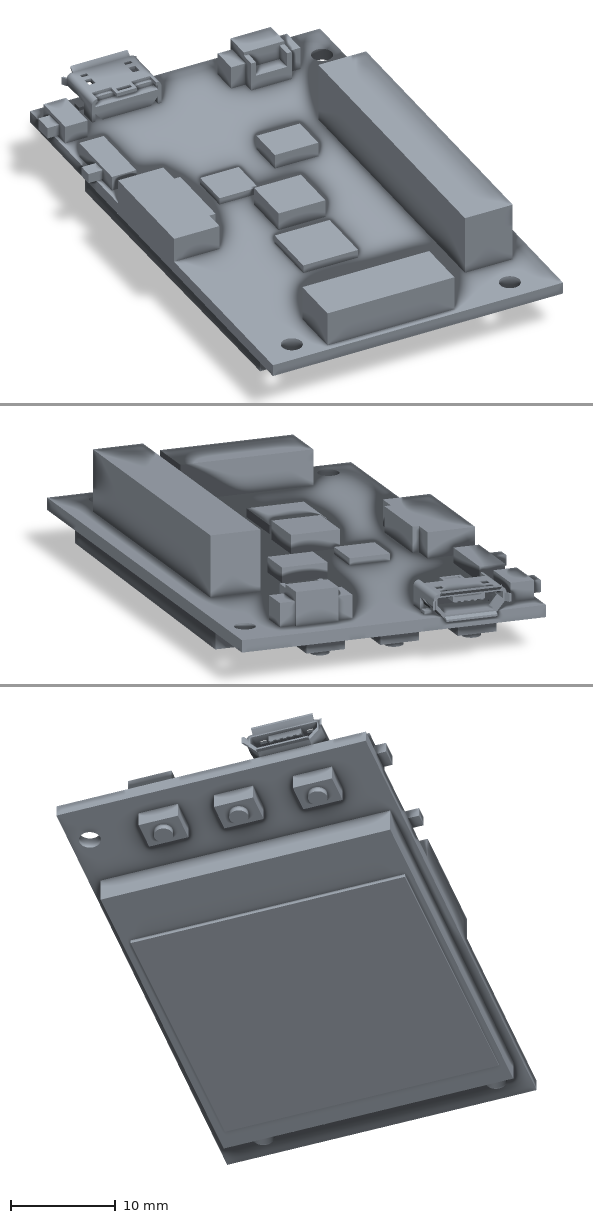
import cadquery as cq
import math


BOARD_LENGTH = 50.15
BOARD_WIDTH = 31.25
BOARD_THICKNESS = 1.25
HOLE_DIAMETER = 2.1
HOLE_CENTRES = [(4.15, 29.3), (47.75, 26.8), (47.75, 3.3)]

PIN_HEADER = (14.05, 23.75, 30.3, 5.15, 6.2)
SIDE_HEADER = (44.3, 6.2, 5.2, 13.65, 3.65)
CHIPS = [
    (15.95, 16.1, 3.8, 4.7, 1.55),
    (24.4, 11.4, 5.05, 5.05, 1.9),
    (31.3, 10.0, 5.9, 5.9, 0.85),
    (18.85, 8.5, 4.0, 4.15, 0.7),
]

SOCKET_X = 18.2
SOCKET_LENGTH = 11.55
SOCKET_WIDTH = 4.9
SOCKET_HEIGHT = 2.6
SOCKET_STEP_X = 20.4
SOCKET_STEP_LENGTH = 7.3
SOCKET_STEP_WIDTH = 0.65

FRONT_OVERHANG = 1.05
SWITCH = (9.2, 0.5, 6.75, 2.6, 1.55)
SWITCH_KNOB_X = 12.65
SWITCH_KNOB_LENGTH = 1.4
SWITCH_KNOB_BOTTOM = 0.2
SWITCH_KNOB_TOP = 1.25
BUTTON = (2.1, 0.35, 4.45, 2.4, 1.9)
BUTTON_KNOB_X = 3.4
BUTTON_KNOB_LENGTH = 1.9
BUTTON_KNOB_TIP_Y = -0.85
BUTTON_KNOB_BOTTOM = 0.2
BUTTON_KNOB_TOP = 1.4

BATTERY_X = 2.25
BATTERY_Y = 20.4
BATTERY_LENGTH = 2.8
BATTERY_WIDTH = 4.35
BATTERY_HEIGHT = 3.45
CHEEK_LENGTH = 1.55
CHEEK_THICKNESS = 0.5
CHEEK_HEIGHT = 3.1
CHEEK_FLOOR_HEIGHT = 1.55
TAB_X = 2.6
TAB_LENGTH = 2.8
TAB_WIDTH = 1.55
TAB_HEIGHT = 2.4

KEY_X = 2.25
KEY_LENGTH = 3.1
KEY_WIDTH = 3.95
KEY_HEIGHT = 1.6
KEY_CENTRES_Y = [6.15, 14.15, 21.75]
PLUNGER_DIAMETER = 1.85
PLUNGER_HEIGHT = 0.55

DISPLAY_X = (9.7, 45.85)
DISPLAY_Y = (0.85, 30.1)
DISPLAY_BOTTOM = (-3.8, -3.45)
SCREEN_X = (15.95, 43.65)
SCREEN_Y = (1.55, 29.25)
SCREEN_BOTTOM = (-4.1, -3.55)

USB_CENTRE_Y = 8.05
SHELL_FRONT_X = -0.7
SHELL_BACK_X = 4.5
SHELL_WIDTH = 7.45
SHELL_BOTTOM_WIDTH = 5.25
SHELL_HEIGHT = 2.5
SHELL_SIDE_BOTTOM = 1.3
SHELL_WALL = 0.35
SHELL_TOP_RADIUS = 0.5
LIP_REACH = 0.5
LIP_THICKNESS = 0.2
TOP_LIP_RISE = 0.4
SIDE_LIP_RISE = 0.3
BOTTOM_LIP_DROP = 0.15
TOP_LIP_WIDTH = 6.15
BOTTOM_LIP_WIDTH = 5.25
SIDE_LIP_Z = (1.15, 1.95)
SIDE_WINDOW_X = (0.75, 2.1)
SIDE_WINDOW_Z = (SHELL_WALL, 1.4)
FOOT_X = (1.25, 2.1)
FOOT_SPAN = 7.8
REAR_LEG_FRONT_X = 2.85
SPRING_WINDOWS_X = [(0.05, 0.45), (1.05, 1.95)]
SPRING_WINDOW_WIDTH = 0.7
SPRING_OFFSET_Y = 2.35
REAR_NOTCH_X = 3.3
REAR_NOTCH_Y = (1.1, 3.15)
REAR_SLOT_X = (3.7, 4.15)
REAR_SLOT_WIDTH = 1.55
INSULATOR_FRONT_X = 2.85
INSULATOR_STEP_X = 3.65
INSULATOR_STEP_TOP = 1.65
TONGUE_FRONT_X = -0.35
TONGUE_WIDTH = 3.3
TONGUE_Z = (1.5, 2.15)
CONTACT_COUNT = 5
CONTACT_PITCH = 0.65
CONTACT_WIDTH = 0.3
CONTACT_HEIGHT = 0.1


def box_between(x_range, y_range, z_range):
    """A box that fills the given X, Y and Z ranges."""
    size = [high - low for low, high in (x_range, y_range, z_range)]
    return cq.Workplane("XY").box(*size, centered=False).translate((x_range[0], y_range[0], z_range[0]))


def block_on_board(x, y, length, width, height):
    """A box that stands on the upper face of the board."""
    return box_between((x, x + length), (y, y + width), (0, height))


def centred_range(centre, width):
    return (centre - width / 2, centre + width / 2)


def extrude_along_y(points, y_range):
    """An X-Z outline that is extruded over a Y range."""
    return (
        cq.Workplane("XZ", origin=(0, y_range[0], 0))
        .polyline(points)
        .close()
        .extrude(y_range[0] - y_range[1])
    )




def bare_board():
    plate = box_between((0, BOARD_LENGTH), (0, BOARD_WIDTH), (-BOARD_THICKNESS, 0))
    holes = (
        cq.Workplane("XY")
        .pushPoints(HOLE_CENTRES)
        .circle(HOLE_DIAMETER / 2)
        .extrude(-BOARD_THICKNESS)
    )
    return plate.cut(holes)


def card_socket():
    body = block_on_board(SOCKET_X, 0, SOCKET_LENGTH, SOCKET_WIDTH, SOCKET_HEIGHT)
    step = block_on_board(SOCKET_STEP_X, SOCKET_WIDTH, SOCKET_STEP_LENGTH, SOCKET_STEP_WIDTH, SOCKET_HEIGHT)
    return body.union(step)


def slide_switch():
    knob = box_between(
        (SWITCH_KNOB_X, SWITCH_KNOB_X + SWITCH_KNOB_LENGTH),
        (-FRONT_OVERHANG, SWITCH[1]),
        (SWITCH_KNOB_BOTTOM, SWITCH_KNOB_TOP),
    )
    return block_on_board(*SWITCH).union(knob)


def push_button():
    knob = box_between(
        (BUTTON_KNOB_X, BUTTON_KNOB_X + BUTTON_KNOB_LENGTH),
        (BUTTON_KNOB_TIP_Y, BUTTON[1]),
        (BUTTON_KNOB_BOTTOM, BUTTON_KNOB_TOP),
    )
    return block_on_board(*BUTTON).union(knob)


def battery_connector():
    connector = block_on_board(BATTERY_X, BATTERY_Y, BATTERY_LENGTH, BATTERY_WIDTH, BATTERY_HEIGHT)
    back_y = BATTERY_Y + BATTERY_WIDTH
    cheek_x = BATTERY_X + BATTERY_LENGTH
    connector = connector.union(
        block_on_board(cheek_x, BATTERY_Y, CHEEK_LENGTH, BATTERY_WIDTH, CHEEK_FLOOR_HEIGHT)
    )
    for cheek_y in (BATTERY_Y, back_y - CHEEK_THICKNESS):
        connector = connector.union(
            block_on_board(cheek_x, cheek_y, CHEEK_LENGTH, CHEEK_THICKNESS, CHEEK_HEIGHT)
        )
    for tab_y in (BATTERY_Y - TAB_WIDTH, back_y):
        connector = connector.union(block_on_board(TAB_X, tab_y, TAB_LENGTH, TAB_WIDTH, TAB_HEIGHT))
    return connector


def key(centre_y):
    """A key below the board with a round plunger."""
    bottom = -BOARD_THICKNESS - KEY_HEIGHT
    body = box_between(
        (KEY_X, KEY_X + KEY_LENGTH), centred_range(centre_y, KEY_WIDTH), (bottom, -BOARD_THICKNESS)
    )
    plunger = (
        cq.Workplane("XY", origin=(KEY_X + KEY_LENGTH / 2, centre_y, bottom))
        .circle(PLUNGER_DIAMETER / 2)
        .extrude(-PLUNGER_HEIGHT)
    )
    return body.union(plunger)


def sloped_slab(x_range, y_range, bottom_heights):
    """A slab below the board whose underside slopes along X."""
    left, right = x_range
    bottom_left, bottom_right = bottom_heights
    outline = [
        (left, -BOARD_THICKNESS),
        (right, -BOARD_THICKNESS),
        (right, bottom_right),
        (left, bottom_left),
    ]
    return extrude_along_y(outline, y_range)


def board_assembly():
    board = bare_board()
    for block in [PIN_HEADER, SIDE_HEADER, *CHIPS]:
        board = board.union(block_on_board(*block))
    for part in (card_socket(), slide_switch(), push_button(), battery_connector()):
        board = board.union(part)
    for centre_y in KEY_CENTRES_Y:
        board = board.union(key(centre_y))
    board = board.union(sloped_slab(DISPLAY_X, DISPLAY_Y, DISPLAY_BOTTOM))
    board = board.union(sloped_slab(SCREEN_X, SCREEN_Y, SCREEN_BOTTOM))
    return board.clean()




def shell_profile(x_start, x_end):
    """The shell's outer shape: upright sides above, flanks that slant inwards below."""
    half_top = SHELL_WIDTH / 2
    half_bottom = SHELL_BOTTOM_WIDTH / 2
    outline = [
        (-half_bottom, 0),
        (half_bottom, 0),
        (half_top, SHELL_SIDE_BOTTOM),
        (half_top, SHELL_HEIGHT),
        (-half_top, SHELL_HEIGHT),
        (-half_top, SHELL_SIDE_BOTTOM),
    ]
    return (
        cq.Workplane("YZ", origin=(x_start, 0, 0))
        .polyline(outline)
        .close()
        .extrude(x_end - x_start)
        .edges("|X and >Z")
        .fillet(SHELL_TOP_RADIUS)
    )


def shell_cavity(x_start, x_end):
    """The space inside the shell wall over an X range."""
    return (
        shell_profile(x_start, x_end)
        .faces("<X")
        .wires()
        .toPending()
        .workplane()
        .offset2D(-SHELL_WALL)
        .extrude(x_start - x_end, combine=False)
    )


def lip_outline(outer, rise):
    """A flared strip: it runs from the shell wall towards -X and away from the opening."""
    inner = outer - math.copysign(LIP_THICKNESS, rise)
    tip_x = SHELL_FRONT_X - LIP_REACH
    return [
        (SHELL_FRONT_X, outer),
        (tip_x, outer + rise),
        (tip_x, inner + rise),
        (SHELL_FRONT_X, inner),
    ]


def shell_lips():
    top = extrude_along_y(lip_outline(SHELL_HEIGHT, TOP_LIP_RISE), centred_range(0, TOP_LIP_WIDTH))
    bottom = extrude_along_y(lip_outline(0, -BOTTOM_LIP_DROP), centred_range(0, BOTTOM_LIP_WIDTH))
    side = (
        cq.Workplane("XY", origin=(0, 0, SIDE_LIP_Z[0]))
        .polyline(lip_outline(SHELL_WIDTH / 2, SIDE_LIP_RISE))
        .close()
        .extrude(SIDE_LIP_Z[1] - SIDE_LIP_Z[0])
    )
    return [top, bottom, side, side.mirror("XZ")]


def roof_opening(x_range, y_range):
    """A rectangular cut through the shell roof."""
    return box_between(x_range, y_range, (SHELL_HEIGHT - SHELL_WALL, SHELL_HEIGHT))


def roof_openings():
    """Two openings around each spring leaf, a notch on each side at the rear and a slot between."""
    openings = [roof_opening(REAR_SLOT_X, centred_range(0, REAR_SLOT_WIDTH))]
    for side in (-1, 1):
        spring_y = centred_range(side * SPRING_OFFSET_Y, SPRING_WINDOW_WIDTH)
        for spring_x in SPRING_WINDOWS_X:
            openings.append(roof_opening(spring_x, spring_y))
        notch_y = sorted(side * y for y in REAR_NOTCH_Y)
        openings.append(roof_opening((REAR_NOTCH_X, SHELL_BACK_X), notch_y))
    return openings


def rear_legs():
    """The upright sides carried down to the board at the rear, one on each side."""
    leg_x = (REAR_LEG_FRONT_X, SHELL_BACK_X)
    leg_z = (0, SHELL_SIDE_BOTTOM + SHELL_WALL)
    legs = []
    for side in (-1, 1):
        leg_y = sorted(side * y for y in (SHELL_WIDTH / 2 - SHELL_WALL, SHELL_WIDTH / 2))
        legs.append(box_between(leg_x, leg_y, leg_z))
    return legs


def usb_shell():
    shell = shell_profile(SHELL_FRONT_X, SHELL_BACK_X).cut(shell_cavity(SHELL_FRONT_X, SHELL_BACK_X))
    shell = shell.cut(box_between(SIDE_WINDOW_X, centred_range(0, SHELL_WIDTH), SIDE_WINDOW_Z))
    foot = box_between(FOOT_X, centred_range(0, FOOT_SPAN), (0, SHELL_WALL))
    for part in [foot, *shell_lips(), *rear_legs()]:
        shell = shell.union(part)
    for opening in roof_openings():
        shell = shell.cut(opening)
    return shell


def usb_insulator():
    """The block that closes the rear of the shell, its tongue and the contacts under the tongue."""
    insulator = shell_cavity(INSULATOR_FRONT_X, SHELL_BACK_X)
    step = box_between(
        (INSULATOR_STEP_X, SHELL_BACK_X), centred_range(0, SHELL_WIDTH), (INSULATOR_STEP_TOP, SHELL_HEIGHT)
    )
    tongue_x = (TONGUE_FRONT_X, INSULATOR_FRONT_X)
    insulator = insulator.cut(step).union(box_between(tongue_x, centred_range(0, TONGUE_WIDTH), TONGUE_Z))
    for index in range(CONTACT_COUNT):
        contact_y = (index - (CONTACT_COUNT - 1) / 2) * CONTACT_PITCH
        contact_z = (TONGUE_Z[0] - CONTACT_HEIGHT, TONGUE_Z[0])
        insulator = insulator.union(box_between(tongue_x, centred_range(contact_y, CONTACT_WIDTH), contact_z))
    return insulator


def usb_socket():
    return usb_shell().union(usb_insulator()).translate((0, USB_CENTRE_Y, 0))


board = board_assembly()
usb = usb_socket()
result = cq.Compound.makeCompound([board.val(), usb.val()])